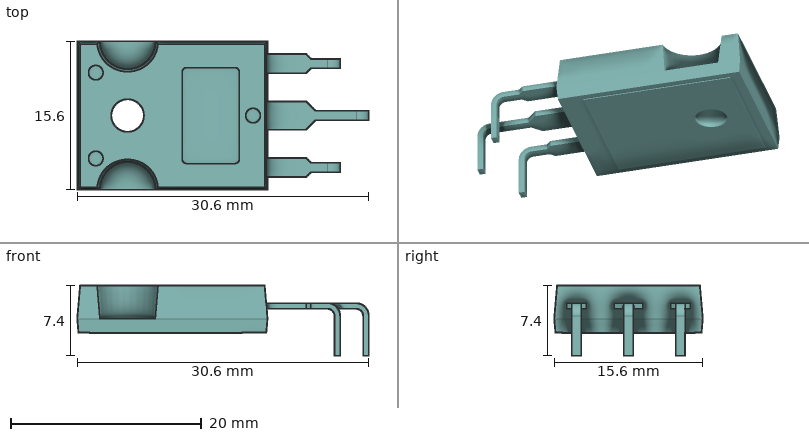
import cadquery as cq
import math

TOTAL_LENGTH = 30.6
TOTAL_HEIGHT = 7.4
BODY_LENGTH = 19.98
BODY_WIDTH = 15.6
BODY_TOP = 5.05
BODY_BOTTOM = 0.1
PARTING_HEIGHT = 1.55
UPPER_HEIGHT = BODY_TOP - PARTING_HEIGHT
LOWER_HEIGHT = PARTING_HEIGHT - BODY_BOTTOM
DRAFT_ANGLE = 5.0

PAD_START = 1.32
PAD_LENGTH = 15.97
PAD_WIDTH = 13.9

HOLE_X = 5.3
HOLE_DIAMETER = 3.4
NOTCH_FLOOR_RADIUS = 2.9

MARK_DEPTH = 0.1
LABEL_START = 11.02
LABEL_LENGTH = 6.0
LABEL_WIDTH = 10.07
LABEL_CORNER_RADIUS = 0.5
DIMPLE_DIAMETER = 1.53
HOLE_END_DIMPLE_X = 1.95
HOLE_END_DIMPLE_Y = 4.5
LEAD_END_DIMPLE_X = 18.45

LEAD_TOP = 3.18
LEAD_THICKNESS = 0.6
LEAD_WIDTH = 1.0
LEAD_PITCH = 5.45
LEAD_BEND_RADIUS = 1.35
LEAD_TIP = BODY_TOP - TOTAL_HEIGHT
LEAD_EMBEDDING = 0.92
LEAD_ROOT_X = BODY_LENGTH - LEAD_EMBEDDING
SHOULDER_END_X = 24.02
OUTER_SHOULDER_WIDTH = 2.02
MIDDLE_SHOULDER_WIDTH = 3.0
OUTER_LEAD_REACH = 27.6


def make_body():
    """Two drafted halves that meet at the widest section, the parting line."""
    parting_plane = cq.Workplane("XY", origin=(BODY_LENGTH / 2, 0, PARTING_HEIGHT))
    upper = parting_plane.rect(BODY_LENGTH, BODY_WIDTH).extrude(UPPER_HEIGHT, taper=DRAFT_ANGLE)
    lower = parting_plane.rect(BODY_LENGTH, BODY_WIDTH).extrude(-LOWER_HEIGHT, taper=DRAFT_ANGLE)
    return upper.union(lower)


def make_pad():
    """Pad under the body, reaching up to the parting plane so that it joins the body."""
    return (
        cq.Workplane("XY", origin=(PAD_START + PAD_LENGTH / 2, 0, 0))
        .rect(PAD_LENGTH, PAD_WIDTH)
        .extrude(PARTING_HEIGHT)
    )


def make_notch(side):
    """Cone, centred on one long edge, that widens upward at the draft angle from the parting plane."""
    top_radius = NOTCH_FLOOR_RADIUS + UPPER_HEIGHT * math.tan(math.radians(DRAFT_ANGLE))
    return (
        cq.Workplane("XY", origin=(HOLE_X, side * BODY_WIDTH / 2, PARTING_HEIGHT))
        .circle(NOTCH_FLOOR_RADIUS)
        .workplane(offset=UPPER_HEIGHT)
        .circle(top_radius)
        .loft()
    )


def make_mounting_hole():
    """Straight hole through the body and the pad."""
    return (
        cq.Workplane("XY", origin=(HOLE_X, 0, 0))
        .circle(HOLE_DIAMETER / 2)
        .extrude(BODY_TOP)
    )


def make_top_marks():
    """Label recess and three round ejector-pin dimples."""
    mark_floor = cq.Workplane("XY", origin=(0, 0, BODY_TOP - MARK_DEPTH))
    label = (
        mark_floor.center(LABEL_START + LABEL_LENGTH / 2, 0)
        .rect(LABEL_LENGTH, LABEL_WIDTH)
        .extrude(MARK_DEPTH)
        .edges("|Z")
        .fillet(LABEL_CORNER_RADIUS)
    )
    dimple_centers = [
        (HOLE_END_DIMPLE_X, HOLE_END_DIMPLE_Y),
        (HOLE_END_DIMPLE_X, -HOLE_END_DIMPLE_Y),
        (LEAD_END_DIMPLE_X, 0),
    ]
    dimples = mark_floor.pushPoints(dimple_centers).circle(DIMPLE_DIAMETER / 2).extrude(MARK_DEPTH)
    return label.union(dimples)


def make_lead(y_center, reach, shoulder_width):
    """Flat lead with a wide shoulder, narrowed at 45 degrees and bent down at its end."""
    inner_radius = LEAD_BEND_RADIUS - LEAD_THICKNESS
    bend_x = reach - LEAD_BEND_RADIUS
    bend_z = LEAD_TOP - LEAD_BEND_RADIUS
    diagonal = math.sqrt(0.5)
    strip = (
        cq.Workplane("XZ", origin=(0, y_center, 0))
        .moveTo(LEAD_ROOT_X, LEAD_TOP)
        .lineTo(bend_x, LEAD_TOP)
        .threePointArc(
            (bend_x + LEAD_BEND_RADIUS * diagonal, bend_z + LEAD_BEND_RADIUS * diagonal),
            (reach, bend_z),
        )
        .lineTo(reach, LEAD_TIP)
        .lineTo(reach - LEAD_THICKNESS, LEAD_TIP)
        .lineTo(reach - LEAD_THICKNESS, bend_z)
        .threePointArc(
            (bend_x + inner_radius * diagonal, bend_z + inner_radius * diagonal),
            (bend_x, LEAD_TOP - LEAD_THICKNESS),
        )
        .lineTo(LEAD_ROOT_X, LEAD_TOP - LEAD_THICKNESS)
        .close()
        .extrude(LEAD_WIDTH / 2, both=True)
    )
    narrowing = (shoulder_width - LEAD_WIDTH) / 2
    shoulder = (
        cq.Workplane("XY", origin=(0, y_center, LEAD_TOP - LEAD_THICKNESS))
        .moveTo(LEAD_ROOT_X, -shoulder_width / 2)
        .lineTo(SHOULDER_END_X, -shoulder_width / 2)
        .lineTo(SHOULDER_END_X + narrowing, -LEAD_WIDTH / 2)
        .lineTo(SHOULDER_END_X + narrowing, LEAD_WIDTH / 2)
        .lineTo(SHOULDER_END_X, shoulder_width / 2)
        .lineTo(LEAD_ROOT_X, shoulder_width / 2)
        .close()
        .extrude(LEAD_THICKNESS)
    )
    return strip.union(shoulder)


result = make_body().union(make_pad())
result = result.cut(make_mounting_hole()).cut(make_top_marks())
for side in (-1, 1):
    result = result.cut(make_notch(side))
    result = result.union(make_lead(side * LEAD_PITCH, OUTER_LEAD_REACH, OUTER_SHOULDER_WIDTH))
result = result.union(make_lead(0, TOTAL_LENGTH, MIDDLE_SHOULDER_WIDTH))